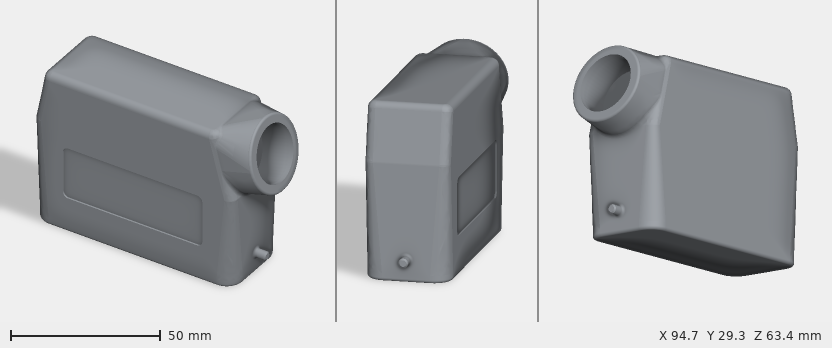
import cadquery as cq
import math

overall_length = 94.7
overall_height = 63.4

body_length = 79.4
body_width = 29.3
body_height = 60.6
foot_height = 2.7
foot_corner_radius = 6.3
upper_corner_radius = 3.2
top_edge_radius = 2.6
bottom_edge_radius = 1.1
plain_end_break = 40.7
plain_end_setback = 3.9
plain_break_radius = 3.2
cable_end_break = 35.4
cable_tilt = 15.0

label_length = 55.4
label_height = 20.1
label_centre_height = 23.6
label_corner_radius = 2.1
label_depth = 0.7

pin_radius = 1.6
pin_reach = 4.45
pin_height = 7.6
pin_root_radius = 0.9
pin_chamfer = 0.5

collar_radius = 14.0
collar_length = 12.7
rim_length = 0.85
rim_flat = 0.9
base_half_width = 14.2
base_corner_radius = 5.7
seam_radius = 1.2
seam_drop = 2.8
seam_rise = 7.6
bore_radius = 10.5

half_length = body_length / 2
half_width = body_width / 2
tilt = math.radians(cable_tilt)
cable_end_setback = (body_height - cable_end_break) * math.tan(tilt)

rim_arc_radius = collar_radius - rim_length
rim_overhang = rim_arc_radius * math.sin(tilt) - rim_length * math.cos(tilt) + rim_length
rim_crest = rim_arc_radius * math.cos(tilt) - rim_length * math.sin(tilt) + rim_length
collar_x = overall_length - half_length - pin_reach - rim_overhang
collar_z = overall_height - rim_crest


def end_section(z, reach, corner_radius):
    """Half of a body cross-section, from the middle to one end with rounded corners."""
    diagonal = corner_radius * (1 - math.sqrt(0.5))
    return (
        cq.Workplane("XY", origin=(0, 0, z))
        .moveTo(0, -half_width)
        .lineTo(reach - corner_radius, -half_width)
        .threePointArc((reach - diagonal, diagonal - half_width), (reach, corner_radius - half_width))
        .lineTo(reach, half_width - corner_radius)
        .threePointArc((reach - diagonal, half_width - diagonal), (reach - corner_radius, half_width))
        .lineTo(0, half_width)
        .close()
        .val()
    )


def body_half(break_height, setback):
    """The +X half of a body whose end leans inward above the break height."""
    sections = [
        end_section(0, half_length, foot_corner_radius),
        end_section(foot_height, half_length, foot_corner_radius),
        end_section(break_height, half_length, upper_corner_radius),
        end_section(body_height, half_length - setback, upper_corner_radius),
    ]
    return cq.Workplane(cq.Solid.makeLoft(sections, True))


def hood_body():
    """Both halves joined, with rounded -X break, top and bottom edges."""
    cable_half = body_half(cable_end_break, cable_end_setback)
    plain_half = body_half(plain_end_break, plain_end_setback).rotate((0, 0, 0), (0, 0, 1), 180)
    body = cable_half.union(plain_half).clean()
    body = body.edges(cq.selectors.NearestToPointSelector((-half_length, 0, plain_end_break)))
    body = body.fillet(plain_break_radius)
    body = body.faces(">Z").edges().fillet(top_edge_radius)
    return body.faces("<Z").edges().fillet(bottom_edge_radius)


def collar_plane(distance):
    """Plane across the collar axis, a distance behind the outer face; local y points up."""
    axis = (math.cos(tilt), 0, math.sin(tilt))
    origin = (collar_x - distance * axis[0], 0, collar_z - distance * axis[2])
    return cq.Plane(origin=origin, xDir=(0, 1, 0), normal=axis)


def collar_outline(distance, half_span, corner_radius, trim_angle):
    """Half circle below the axis; flat sides, two round corners and a flat top above it."""
    centre = half_span - corner_radius

    def corner_point(angle):
        return centre + corner_radius * math.cos(angle), centre + corner_radius * math.sin(angle)

    side = corner_point(trim_angle)
    middle = corner_point(math.pi / 4)
    top = corner_point(math.pi / 2 - trim_angle)
    return (
        cq.Workplane(collar_plane(distance))
        .moveTo(half_span, 0)
        .lineTo(*side)
        .threePointArc(middle, top)
        .lineTo(-top[0], top[1])
        .threePointArc((-middle[0], middle[1]), (-side[0], side[1]))
        .lineTo(-half_span, 0)
        .threePointArc((0, -half_span), (half_span, 0))
        .close()
    )


def collar_rim():
    """Round disc closing the collar, its outer edge a quarter-round as deep as the disc."""
    face = collar_plane(0)
    arc_offset = rim_length * math.sqrt(0.5)
    return (
        cq.Workplane(cq.Plane(origin=face.origin, xDir=face.yDir, normal=face.xDir))
        .lineTo(rim_arc_radius, 0)
        .threePointArc((rim_arc_radius + arc_offset, arc_offset - rim_length), (collar_radius, -rim_length))
        .lineTo(0, -rim_length)
        .close()
        .revolve(360, (0, 0, 0), (0, 1, 0))
    )


def cable_collar():
    """Collar that blends from a squared base to a round rim."""
    base = collar_outline(collar_length, base_half_width, base_corner_radius, 0)
    rim = collar_outline(rim_length, collar_radius, collar_radius, math.asin(rim_flat / collar_radius))
    funnel = cq.Workplane(cq.Solid.makeLoft([base.val(), rim.val()], True))
    return funnel.union(collar_rim())


def locking_pin():
    """Pin on the +X end, with a concave root and a chamfered tip."""
    root_radius = pin_radius + pin_root_radius
    arc_offset = pin_root_radius * (1 - math.sqrt(0.5))
    tip = half_length + pin_reach
    return (
        cq.Workplane("XZ", origin=(0, 0, pin_height))
        .moveTo(half_length - pin_root_radius, 0)
        .lineTo(half_length - pin_root_radius, root_radius)
        .lineTo(half_length, root_radius)
        .threePointArc(
            (half_length + arc_offset, pin_radius + arc_offset),
            (half_length + pin_root_radius, pin_radius),
        )
        .lineTo(tip - pin_chamfer, pin_radius)
        .lineTo(tip, pin_radius - pin_chamfer)
        .lineTo(tip, 0)
        .close()
        .revolve(360, (0, 0, 0), (1, 0, 0))
    )


def label_recess():
    """Rounded rectangular block that sinks the label area."""
    return (
        cq.Workplane("XZ", origin=(0, label_depth - half_width, label_centre_height))
        .rect(label_length, label_height)
        .extrude(label_depth)
        .edges("|Y")
        .fillet(label_corner_radius)
    )


def hood_with_collar():
    """Body and collar joined, with the lower seam between them and the +X break line rounded."""
    hood = hood_body().union(cable_collar())
    seam_low = (half_length - seam_drop, -body_width, cable_end_break - seam_drop)
    seam_high = (half_length + seam_radius, body_width, cable_end_break + seam_rise)
    return hood.edges(cq.selectors.BoxSelector(seam_low, seam_high)).fillet(seam_radius)


hood = hood_with_collar()
pin = locking_pin()
hood = hood.union(pin).union(pin.mirror("YZ"))
bore = cq.Workplane(collar_plane(0)).circle(bore_radius).extrude(-collar_length)
result = hood.cut(label_recess()).cut(bore)